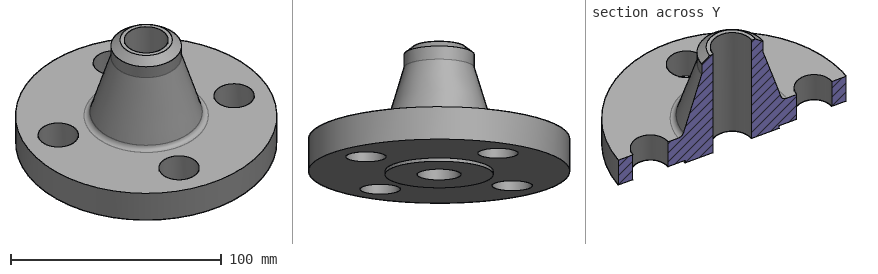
import cadquery as cq
import math

flange_diameter = 123.9
flange_thickness = 15.9
face_diameter = 51.3
face_height = 1.6
overall_height = 62.1

hub_base_diameter = 54.5
hub_fillet_radius = 3.0
neck_diameter = 33.5
neck_height = 9.9
weld_land_diameter = 24.8
weld_bevel_height = 3.5
bore_diameter = 20.8

bolt_circle_diameter = 89.0
bolt_hole_diameter = 19.1
bolt_hole_count = 4

flange_top = face_height + flange_thickness
neck_bottom = overall_height - neck_height
bevel_bottom = overall_height - weld_bevel_height

hub_base_radius = hub_base_diameter / 2
neck_radius = neck_diameter / 2
cone_angle = math.atan2(neck_bottom - flange_top, hub_base_radius - neck_radius)
tangent_length = hub_fillet_radius * math.tan(cone_angle / 2)
fillet_center = (hub_base_radius + tangent_length, flange_top + hub_fillet_radius)
fillet_outer = (fillet_center[0], flange_top)
fillet_upper = (
    hub_base_radius - tangent_length * math.cos(cone_angle),
    flange_top + tangent_length * math.sin(cone_angle),
)
fillet_middle = (
    fillet_center[0] - hub_fillet_radius * math.sin(cone_angle / 2),
    fillet_center[1] - hub_fillet_radius * math.cos(cone_angle / 2),
)


def make_body():
    """Revolve the half section, bore included, about Z."""
    return (
        cq.Workplane("XZ")
        .moveTo(bore_diameter / 2, 0)
        .lineTo(face_diameter / 2, 0)
        .lineTo(face_diameter / 2, face_height)
        .lineTo(flange_diameter / 2, face_height)
        .lineTo(flange_diameter / 2, flange_top)
        .lineTo(*fillet_outer)
        .threePointArc(fillet_middle, fillet_upper)
        .lineTo(neck_radius, neck_bottom)
        .lineTo(neck_radius, bevel_bottom)
        .lineTo(weld_land_diameter / 2, overall_height)
        .lineTo(bore_diameter / 2, overall_height)
        .close()
        .revolve(360, (0, 0, 0), (0, 1, 0))
    )


def make_bolt_holes():
    """Cutters on the bolt circle, the first one on +X."""
    return (
        cq.Workplane("XY")
        .polarArray(bolt_circle_diameter / 2, 0, 360, bolt_hole_count)
        .circle(bolt_hole_diameter / 2)
        .extrude(flange_top)
    )


result = make_body().cut(make_bolt_holes())